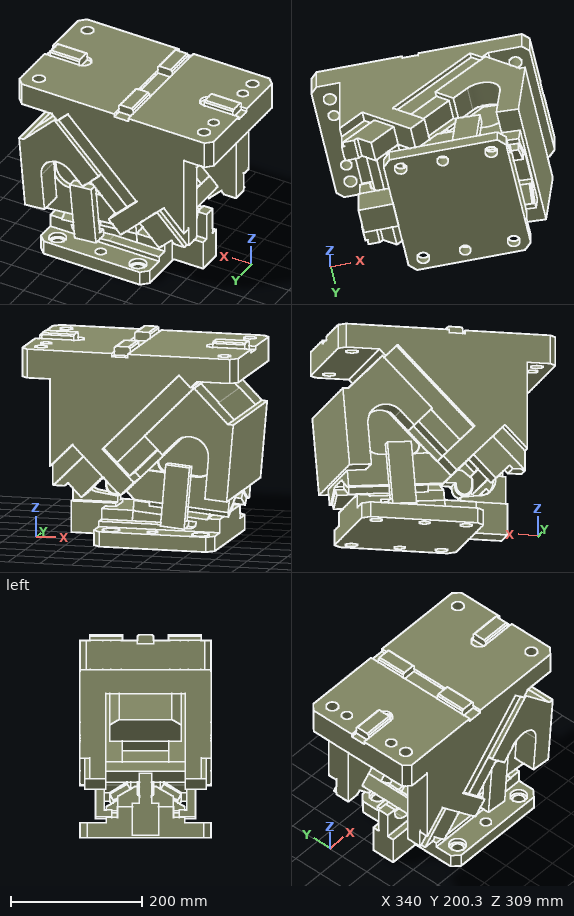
import cadquery as cq
import math


LENGTH = 340.0
WIDTH = 200.0
HEIGHT = 309.0
HALF_LENGTH = LENGTH / 2
HALF_WIDTH = WIDTH / 2

WAY_ANGLE = 45.0
WAY_X, WAY_Z = -13.3, 81.0
WORK_ANGLE = 5.0
WORK_X, WORK_Z = -6.0, 69.0

KEY_RISE = 8.5
PLATE_TOP = HEIGHT - KEY_RISE
PLATE_THICK_LEFT = 44.5
PLATE_THICK_RIGHT = 37.0
PLATE_CORNER = 10.2
LEG_X = -123.8
LEG_BOTTOM = 90.0
LEG_INNER = 60.2
LEG_NOTCH = 84.5
RELIEF_HALF = 92.5
CAVITY_TOP = 219.3
CAVITY_CLEAR = 119.0
CAVITY_END = 142.8
WAY_FACE = 39.8
WAY_TOP = 200.5
WAY_STEP = 3.7
RELIEF_DEEP = 69.7
LUG_LENGTH = 30.3
NOTCH_HIGH = 106.5
BLOCK_LOW, BLOCK_MID, BLOCK_HIGH = 39.5, 69.7, 82.3
BLOCK_REACH = 49.5
RAIL_LOW, RAIL_HIGH = 39.8, 69.7
RAIL_GAP = 35.5
BAR_START, BAR_END = -41.5, -20.5
BAR_LOW, BAR_HIGH = 47.0, 70.0

KEY_WIDTH = 24.8
KEY_LENGTH = 50.3
KEY_SEAT = 5.0
KEY_BEVEL = 2.5
SLOT_LENGTH = 73.5
KEY_INSET = 10.2
CROSS_X = -14.0
CROSS_KEY_Y = 60.0
HOLE_Y = 74.5
HOLE_INSET = 25.5
HOLE_DIAMETER = 19.0
DOWEL_Y = 45.0
DOWEL_DIAMETER = 16.5

SLIDE_HALF = 100.13
CORE_HALF = 62.5
WING_START = 94.2
SLIDE_END = 204.5
SLIDE_TOP = 144.5
SLIDE_CORNER = 150.5
WING_RIGHT, WING_BOTTOM = 159.0, 24.5
SOLE_LEFT, SOLE_RIGHT = 5.0, 153.7
ARCH_A, ARCH_B = 95.0, 87.5
ARCH_RADIUS = 30.0
STRIP_LOW = 12.0
HEAD_HALF, HEAD_TOP_HALF = 54.0, 40.0
HEAD_START, STEM_START, HEAD_END = 24.0, 33.3, 139.5
HEAD_TOP, HEAD_SHOULDER = 116.0, 104.7
LEDGE_B = 48.0
LEDGE_HALF, POCKET_HALF = 58.5, 54.0
POCKET_LEFT, POCKET_RIGHT, POCKET_TOP = 36.0, 126.0, 122.5
POCKET_LEFT_RADIUS, POCKET_RIGHT_RADIUS = 15.0, 27.2
NOSE_HALF = 12.5
NOSE_X, NOSE_Z = -45.5, 78.0
NOSE_RADIUS = 14.0
NOSE_TOP = 103.0
NOSE_SHOULDER_X, NOSE_SHOULDER_Z = -42.0, 90.0
NOSE_SHELF = 82.5
NOSE_BEVEL = 2.0
HOOK_START, HOOK_END = 53.0, 90.5
HOOK_TOP, HOOK_BOTTOM = 63.5, -32.3
HOOK_HALF, FOOT_HALF = 76.0, 51.5

ROOF_ANGLE = 30.0
ROOF_END = 121.5
RAIL_HALF = 42.5
EAVES = -6.0
RIDGE = 10.0
SEAT = -22.0
PAD_THICK = 13.0
PAD_INNER, PAD_OUTER = 22.0, 49.0
PAD_START, PAD_END = 26.5, 151.3

BASE_LEFT, BASE_RIGHT = -57.5, 133.0
FLANGE_THICK = 23.0
FLANGE_CORNER = 11.2
BODY_HALF = 60.0
RAIL_FOOT_HALF = 43.0
RAIL_FOOT_END = 68.0
RAIL_FOOT_LOW = -39.0
SPINE_TOP = 47.5
END_TOP = 44.0
SHELF_Z = 31.3
TUNNEL_FLOOR = -34.5
TUNNEL_END = 104.5
TUNNEL_RADIUS = 11.5
LIP_START = 63.0
BOLT_INSET_X, BOLT_INSET_Y = 24.8, 19.0
BOLT_DIAMETER, BORE_DIAMETER, BORE_DEPTH = 18.7, 26.5, 7.5
PIN_OFFSET = 90.0
PIN_DIAMETER = 16.5
POST_LEFT, POST_RIGHT = -112.0, -41.0
POST_HALF, FIN_HALF = 20.0, 9.2
POST_BOTTOM, POST_SHOULDER = 4.0, 52.7
FIN_TOP, FIN_RIGHT_TOP = 98.0, 62.0
FIN_CREST = 16.0
CUP_MID = (-90.0, 76.5)
CUP_END = (-76.5, 67.0)

FAR = 272.0


def way(along, off):
    """World (X, Z) from a position along the slide way and a distance above it."""
    c, s = math.cos(math.radians(WAY_ANGLE)), math.sin(math.radians(WAY_ANGLE))
    return (WAY_X + along * c - off * s, WAY_Z + along * s + off * c)


def work(along, off):
    """World (X, Z) from a position along the slide sole and a distance above it."""
    c, s = math.cos(math.radians(WORK_ANGLE)), math.sin(math.radians(WORK_ANGLE))
    return (WORK_X + along * c + off * s, WORK_Z - along * s + off * c)


def across(wire, y_from, y_to):
    """Extrude a closed XZ sketch from y_from to y_to."""
    return wire.extrude(y_from - y_to).translate((0, y_from, 0))


def slab(points, half):
    """Prism over an XZ outline, centred on Y = 0."""
    return across(cq.Workplane("XZ").polyline(points).close(), -half, half)


def pair(points, inner, outer):
    """One solid on each side of Y = 0 over the same XZ outline."""
    right = across(cq.Workplane("XZ").polyline(points).close(), -outer, -inner)
    return right.union(right.mirror("XZ"))


def rect(frame, a0, a1, b0, b1):
    """Corners of a rectangle in one of the inclined frames."""
    return [frame(a0, b0), frame(a1, b0), frame(a1, b1), frame(a0, b1)]


def along_work(points, start, end):
    """Extrude a (Y, height) section along the working direction."""
    x, z = work(start, 0)
    plane = cq.Plane(
        origin=(x, 0, z),
        xDir=(0, 1, 0),
        normal=(math.cos(math.radians(WORK_ANGLE)), 0, -math.sin(math.radians(WORK_ANGLE))),
    )
    return cq.Workplane(plane).polyline(points).close().extrude(end - start)


def roof(y):
    """Height of the V guide's roof at a distance y from the middle."""
    return EAVES - (y - RAIL_HALF) * math.tan(math.radians(ROOF_ANGLE))


def make_key(x, y, turned):
    """Rectangular key with two bevelled long edges, seated in the plate."""
    key = cq.Workplane("XY").box(KEY_LENGTH, KEY_WIDTH, KEY_SEAT + KEY_RISE, centered=(True, True, False))
    key = key.edges("|X and >Z").chamfer(KEY_BEVEL)
    if turned:
        key = key.rotate((0, 0, 0), (0, 0, 1), -90)
    return key.translate((x, y, PLATE_TOP - KEY_SEAT))


def make_holder():
    left_low = PLATE_TOP - PLATE_THICK_LEFT
    right_low = PLATE_TOP - PLATE_THICK_RIGHT
    notch_x, notch_z = way(0, NOTCH_HIGH)
    step_x, step_z = way(WAY_TOP, WAY_FACE + WAY_STEP)
    outline = [
        (-HALF_LENGTH, PLATE_TOP),
        (HALF_LENGTH, PLATE_TOP),
        (HALF_LENGTH, right_low),
        (step_x + right_low - step_z, right_low),
        (step_x, step_z),
        way(WAY_TOP, WAY_FACE),
        way(LUG_LENGTH, WAY_FACE),
        way(LUG_LENGTH, 0),
        way(0, 0),
        (notch_x, notch_z),
        (LEG_X, notch_z - (notch_x - LEG_X)),
        (LEG_X, left_low),
        (-HALF_LENGTH, left_low),
    ]
    holder = slab(outline, HALF_WIDTH)
    left_corners = holder.edges("|Z and <X").edges("<Y or >Y").vals()
    right_corners = holder.edges("|Z and >X").edges("<Y or >Y").vals()
    holder = holder.newObject(left_corners + right_corners).chamfer(PLATE_CORNER)

    tip_x, tip_z = way(-BLOCK_REACH, BLOCK_MID)
    foot_x = tip_x - (tip_z - LEG_BOTTOM)
    upper_x, upper_z = way(0, BLOCK_HIGH)
    block = [
        (upper_x, upper_z),
        way(0, BLOCK_LOW),
        way(-BLOCK_REACH, BLOCK_LOW),
        (tip_x, tip_z),
        (foot_x, LEG_BOTTOM),
        (upper_x - (upper_z - LEG_BOTTOM), LEG_BOTTOM),
    ]
    leg = [
        (LEG_X, LEG_BOTTOM),
        (foot_x, LEG_BOTTOM),
        (tip_x, tip_z),
        way(-BLOCK_REACH, BLOCK_LOW),
        way(0, BLOCK_LOW),
        way(LUG_LENGTH, BLOCK_LOW),
        way(LUG_LENGTH, NOTCH_HIGH),
        (LEG_X, notch_z + notch_x - LEG_X),
    ]
    holder = holder.union(slab(leg, LEG_NOTCH)).union(slab(block, RELIEF_HALF))

    holder = holder.cut(pair(rect(way, LUG_LENGTH, WAY_TOP, WAY_FACE, RELIEF_DEEP), RELIEF_HALF, FAR))

    head_x, head_z = way(0, CAVITY_CLEAR)
    cavity = [
        (-FAR, CAVITY_TOP),
        (head_x + CAVITY_TOP - head_z, CAVITY_TOP),
        way(CAVITY_END, CAVITY_CLEAR),
        way(CAVITY_END, -FAR),
        (-FAR, -FAR),
    ]
    holder = holder.cut(slab(cavity, LEG_INNER))

    rails = pair(rect(way, BAR_END, CAVITY_END, RAIL_LOW, RAIL_HIGH), RAIL_GAP, LEG_INNER)
    bar = slab(rect(way, BAR_START, BAR_END, BAR_LOW, BAR_HIGH), LEG_INNER)
    holder = holder.union(rails).union(bar)

    seat_z = PLATE_TOP - KEY_SEAT
    cross = cq.Workplane("XY", origin=(CROSS_X, 0, seat_z)).rect(KEY_WIDTH, WIDTH).extrude(KEY_SEAT)
    holder = holder.cut(cross)
    for side in (-1, 1):
        end_slot = (
            cq.Workplane("XY", origin=(side * HALF_LENGTH, 0, seat_z))
            .slot2D(2 * SLOT_LENGTH, KEY_WIDTH)
            .extrude(KEY_SEAT)
        )
        holder = holder.cut(end_slot)

    for side in (-1, 1):
        holder = holder.union(make_key(side * (HALF_LENGTH - KEY_INSET - KEY_LENGTH / 2), 0, False))
        holder = holder.union(make_key(CROSS_X, side * CROSS_KEY_Y, True))

    hole_x = HALF_LENGTH - HOLE_INSET
    bolts = [(x, y) for x in (-hole_x, hole_x) for y in (-HOLE_Y, HOLE_Y)]
    dowels = [(-hole_x, y) for y in (-DOWEL_Y, DOWEL_Y)]
    for spots, diameter in ((bolts, HOLE_DIAMETER), (dowels, DOWEL_DIAMETER)):
        drills = cq.Workplane("XY", origin=(0, 0, PLATE_TOP)).pushPoints(spots).circle(diameter / 2)
        holder = holder.cut(drills.extrude(-PLATE_THICK_LEFT))
    return holder


def wing_outline():
    """Wing outline, arched underneath, with the arch running out at the bottom."""
    x, z = work(ARCH_A, ARCH_B)

    def arch_point(degrees):
        turn = math.radians(degrees)
        return (x + ARCH_RADIUS * math.cos(turn), z + ARCH_RADIUS * math.sin(turn))

    crown, spring = 90.0 + WAY_ANGLE, -WORK_ANGLE
    return (
        cq.Workplane("XZ")
        .moveTo(*way(WING_START, 0))
        .lineTo(*way(WING_START, WAY_FACE))
        .lineTo(*way(SLIDE_END, WAY_FACE))
        .lineTo(*work(SLIDE_CORNER, SLIDE_TOP))
        .lineTo(*work(WING_RIGHT, SLIDE_TOP))
        .lineTo(*work(WING_RIGHT, WING_BOTTOM))
        .lineTo(*work(ARCH_A + ARCH_RADIUS, WING_BOTTOM))
        .lineTo(*arch_point(spring))
        .threePointArc(arch_point((crown + spring) / 2), arch_point(crown))
        .close()
    )


def make_nose():
    """Round-ended lug in front of the slide's lower end."""
    left = NOSE_X - NOSE_RADIUS
    right = NOSE_X + NOSE_RADIUS
    low_x, low_z = way(0, 0)
    end_sum = low_x + low_z
    lug = (
        cq.Workplane("XZ")
        .moveTo(left, NOSE_Z)
        .threePointArc((NOSE_X, NOSE_Z - NOSE_RADIUS), (right, NOSE_Z))
        .lineTo(right, NOSE_SHELF)
        .lineTo(end_sum - NOSE_SHELF, NOSE_SHELF)
        .lineTo(end_sum - NOSE_TOP, NOSE_TOP)
        .lineTo(NOSE_SHOULDER_X, NOSE_TOP)
        .lineTo(left, NOSE_SHOULDER_Z)
        .close()
    )
    lug = across(lug, -NOSE_HALF, NOSE_HALF)
    below = cq.selectors.BoxSelector((-FAR, -FAR, 0), (FAR, FAR, NOSE_Z))
    return lug.edges("%CIRCLE").edges(below).chamfer(NOSE_BEVEL)


def make_hook(side):
    """Return hook whose foot reaches under the base's lip."""
    upright = slab(rect(work, HOOK_START, HOOK_END, HOOK_BOTTOM, HOOK_TOP), (HOOK_HALF - CORE_HALF) / 2)
    upright = upright.translate((0, side * (HOOK_HALF + CORE_HALF) / 2, 0))
    foot = slab(rect(work, HOOK_START, HOOK_END, HOOK_BOTTOM, SEAT), (HOOK_HALF - FOOT_HALF) / 2)
    foot = foot.translate((0, side * (HOOK_HALF + FOOT_HALF) / 2, 0))
    return upright.union(foot)


def make_slide():
    core = slab(
        [
            way(0, 0),
            way(SLIDE_END, 0),
            work(SLIDE_CORNER, SLIDE_TOP),
            work(WING_RIGHT, SLIDE_TOP),
            work(WING_RIGHT, WING_BOTTOM),
            work(SOLE_RIGHT, WING_BOTTOM),
            work(SOLE_RIGHT, 0),
            work(SOLE_LEFT, 0),
        ],
        CORE_HALF,
    )

    ledge = [work(-FAR, LEDGE_B), work(ARCH_A, LEDGE_B), work(ARCH_A, POCKET_TOP), work(-FAR, POCKET_TOP)]
    core = core.cut(pair(ledge, LEDGE_HALF, CORE_HALF))
    for side in (-1, 1):
        pocket = cq.Workplane("XY").box(
            POCKET_RIGHT - POCKET_LEFT,
            CORE_HALF - POCKET_HALF,
            POCKET_TOP - LEDGE_B,
        )
        pocket = pocket.edges("|Y and <X and <Z").fillet(POCKET_LEFT_RADIUS)
        pocket = pocket.edges("|Y and >X and <Z").fillet(POCKET_RIGHT_RADIUS)
        x, z = work((POCKET_LEFT + POCKET_RIGHT) / 2, (LEDGE_B + POCKET_TOP) / 2)
        pocket = pocket.rotate((0, 0, 0), (0, 1, 0), WORK_ANGLE)
        core = core.cut(pocket.translate((x, side * (CORE_HALF + POCKET_HALF) / 2, z)))

    slide = core.union(slab(rect(way, 0, SLIDE_END, 0, WAY_FACE), LEG_INNER))

    wing = across(wing_outline(), -SLIDE_HALF, -LEG_INNER)
    slide = slide.union(wing).union(wing.mirror("XZ"))
    slide = slide.union(pair(rect(way, LUG_LENGTH, WING_START, STRIP_LOW, WAY_FACE), LEG_INNER, RELIEF_HALF))

    x, z = way(HEAD_START, 0)
    head_plane = cq.Plane(
        origin=(x, 0, z),
        xDir=(0, 1, 0),
        normal=(math.cos(math.radians(WAY_ANGLE)), 0, math.sin(math.radians(WAY_ANGLE))),
    )
    head = (
        cq.Workplane(head_plane)
        .polyline(
            [
                (-HEAD_HALF, RAIL_HIGH),
                (-HEAD_HALF, HEAD_SHOULDER),
                (-HEAD_TOP_HALF, HEAD_TOP),
                (HEAD_TOP_HALF, HEAD_TOP),
                (HEAD_HALF, HEAD_SHOULDER),
                (HEAD_HALF, RAIL_HIGH),
            ]
        )
        .close()
        .extrude(HEAD_END - HEAD_START)
    )
    stem = slab(rect(way, STEM_START, HEAD_END, WAY_FACE, RAIL_HIGH), RAIL_GAP)
    slide = slide.union(stem).union(head)

    lean = PAD_THICK * math.sin(math.radians(ROOF_ANGLE)) * math.cos(math.radians(ROOF_ANGLE))
    rise = PAD_THICK * math.cos(math.radians(ROOF_ANGLE)) ** 2
    groove_half = PAD_OUTER + lean
    groove_side = roof(groove_half) + PAD_THICK
    groove_top = roof(PAD_INNER) + PAD_THICK
    groove = [
        (-groove_half, -FAR),
        (-groove_half, groove_side),
        (-PAD_INNER, groove_top),
        (PAD_INNER, groove_top),
        (groove_half, groove_side),
        (groove_half, -FAR),
    ]
    slide = slide.cut(along_work(groove, -FAR, FAR))
    for side in (-1, 1):
        pad = [
            (side * PAD_INNER, roof(PAD_INNER)),
            (side * (PAD_INNER + lean), roof(PAD_INNER) + rise),
            (side * (PAD_OUTER + lean), roof(PAD_OUTER) + rise),
            (side * PAD_OUTER, roof(PAD_OUTER)),
        ]
        slide = slide.union(along_work(pad, PAD_START, PAD_END))
        slide = slide.union(make_hook(side))
    return slide.union(make_nose())


def make_post():
    """Post at the left end, with a thin cupped fin on top."""
    post = slab(
        [
            (POST_LEFT, POST_BOTTOM),
            (POST_RIGHT, POST_BOTTOM),
            (POST_RIGHT, POST_SHOULDER),
            (POST_LEFT, POST_SHOULDER),
        ],
        POST_HALF,
    )
    fin = (
        cq.Workplane("XZ")
        .moveTo(POST_LEFT, POST_SHOULDER)
        .lineTo(POST_LEFT, FIN_TOP)
        .lineTo(POST_LEFT + FIN_CREST, FIN_TOP)
        .threePointArc(CUP_MID, CUP_END)
        .lineTo(POST_RIGHT, FIN_RIGHT_TOP)
        .lineTo(POST_RIGHT, POST_SHOULDER)
        .close()
    )
    return post.union(across(fin, -FIN_HALF, FIN_HALF))


def make_base():
    middle_x = (BASE_LEFT + BASE_RIGHT) / 2
    base_length = BASE_RIGHT - BASE_LEFT
    base = cq.Workplane("XY", origin=(middle_x, 0, 0)).rect(base_length, WIDTH).extrude(FLANGE_THICK)
    base = base.edges("|Z").chamfer(FLANGE_CORNER)

    body = [
        (BASE_LEFT, 0),
        (BASE_LEFT, SPINE_TOP),
        (work(0, SEAT)[0], SPINE_TOP),
        work(0, SEAT),
        work(ROOF_END, SEAT),
        work(ROOF_END, roof(BODY_HALF)),
        (work(ROOF_END, roof(BODY_HALF))[0], END_TOP),
        (BASE_RIGHT, END_TOP),
        (BASE_RIGHT, 0),
    ]
    base = base.union(slab(body, BODY_HALF))

    turn = TUNNEL_RADIUS * (1 - math.sqrt(0.5))
    tilt = math.radians(WORK_ANGLE)
    level_end = (WORK_Z + TUNNEL_FLOOR * math.cos(tilt) - SHELF_Z) / math.sin(tilt)
    arc_middle = work(TUNNEL_END - turn, TUNNEL_FLOOR + turn)
    arc_end = work(TUNNEL_END, TUNNEL_FLOOR + TUNNEL_RADIUS)
    tunnel = (
        cq.Workplane("XZ")
        .moveTo(BASE_LEFT, SHELF_Z)
        .lineTo(*work(level_end, TUNNEL_FLOOR))
        .lineTo(*work(TUNNEL_END - TUNNEL_RADIUS, TUNNEL_FLOOR))
        .threePointArc(arc_middle, arc_end)
        .lineTo(*work(TUNNEL_END, SEAT))
        .lineTo(*work(0, SEAT))
        .lineTo(work(0, SEAT)[0], SPINE_TOP)
        .lineTo(BASE_LEFT, SPINE_TOP)
        .close()
    )
    tunnel = across(tunnel, RAIL_HALF, BODY_HALF)
    base = base.cut(tunnel).cut(tunnel.mirror("XZ"))

    base = base.union(slab(rect(work, 0, RAIL_FOOT_END, RAIL_FOOT_LOW, SEAT), RAIL_FOOT_HALF))

    flat = RAIL_HALF - (RIDGE - EAVES) / math.tan(math.radians(ROOF_ANGLE))
    for half, start in ((RAIL_HALF, 0), (BODY_HALF, LIP_START)):
        eaves = roof(half)
        section = [(-half, SEAT), (-half, eaves), (-flat, RIDGE), (flat, RIDGE), (half, eaves), (half, SEAT)]
        base = base.union(along_work(section, start, ROOF_END))

    bolt_y = HALF_WIDTH - BOLT_INSET_Y
    bolts = [
        (x, y) for x in (BASE_LEFT + BOLT_INSET_X, BASE_RIGHT - BOLT_INSET_X) for y in (-bolt_y, bolt_y)
    ]
    pins = [(BASE_LEFT + PIN_OFFSET, y) for y in (-bolt_y, bolt_y)]
    holes = (
        (bolts, BOLT_DIAMETER, FLANGE_THICK),
        (bolts, BORE_DIAMETER, BORE_DEPTH),
        (pins, PIN_DIAMETER, FLANGE_THICK),
    )
    for spots, diameter, depth in holes:
        drills = cq.Workplane("XY", origin=(0, 0, FLANGE_THICK)).pushPoints(spots).circle(diameter / 2)
        base = base.cut(drills.extrude(-depth))
    return base.union(make_post())


holder = make_holder()
slide = make_slide()
base = make_base()
result = cq.Compound.makeCompound([holder.val(), slide.val(), base.val()])